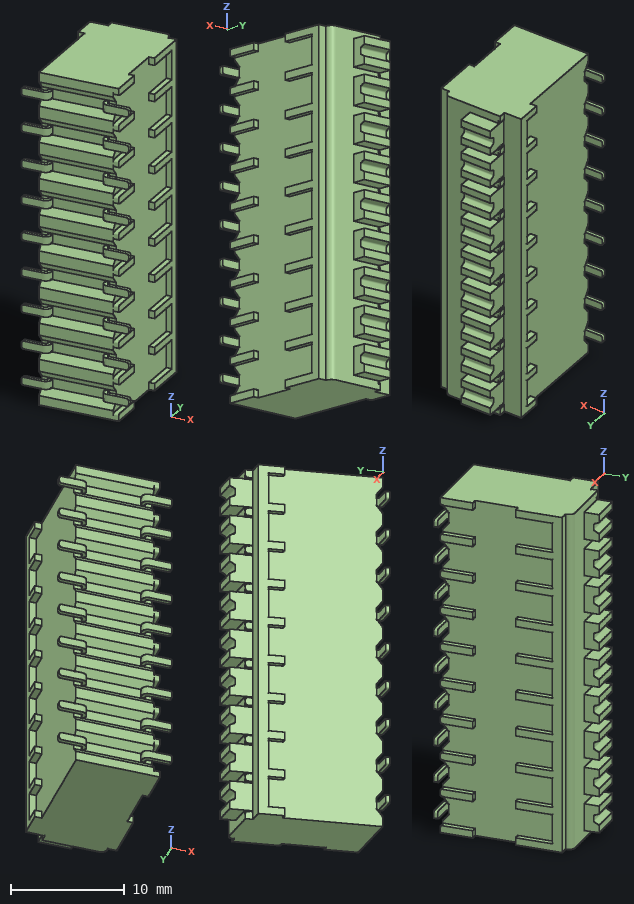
import cadquery as cq

POLES = 9
LENGTH = 32.2
WALL = 0.7
PITCH = (LENGTH - WALL) / POLES
POLE_CENTRES = [(i - (POLES - 1) / 2) * PITCH for i in range(POLES)]
WALL_CENTRES = [(i - POLES / 2) * PITCH for i in range(POLES + 1)]

CORE_HALF_WIDTH = 3.65
LEFT_EDGE = -4.28
RIGHT_EDGE = 4.2
FRONT = 0.2
SHOULDER = 11.75
BACK = 12.43

RAIL_DEPTH = 0.93
LEFT_FINGER_FRONT = 9.35
RIGHT_FINGER_FRONT = 7.35
FOOT_BACK = 3.3
RIB_EDGE_RADIUS = 0.2

STEP_LEFT = -2.32
STEP_RIGHT = 3.35
STEP_CORNER_RADIUS = 0.55
STEP_RIB_HEIGHT = 0.2

BUTTON_LEFT = -2.4
BUTTON_RIGHT = 0.68
BUTTON_BACK = 13.85
BUTTON_HEIGHT = 2.58
NOTCH_DEPTH = 0.5
NOTCH_MOUTH = 1.1
NOTCH_FLOOR = 0.58
NOTCH_CORNER_RADIUS = 0.15

GROOVE_DEPTH = 0.58
GROOVE_MOUTH = 2.35
GROOVE_FLOOR = 0.95

LEAD_HALF_SPAN = 10.5 / 2
LEAD_THICKNESS = 0.4
LEAD_HEIGHT = 0.77
LEAD_BEND_RADIUS = 0.15
LEAD_TIP_RADIUS = 0.23
LEG_INNER_FACE = 2.58
LEG_EMBEDDING = 0.32


def block(x_min, x_max, y_min, y_max, height, z_centre=0.0):
    """Box given by its X and Y limits, centred on z_centre in Z."""
    centre = ((x_min + x_max) / 2, (y_min + y_max) / 2, z_centre)
    return cq.Workplane("XY").box(x_max - x_min, y_max - y_min, height).translate(centre)


def make_core():
    """Main block with the raised step on its back."""
    body = block(-CORE_HALF_WIDTH, CORE_HALF_WIDTH, FRONT, SHOULDER, LENGTH)
    step = block(STEP_LEFT, STEP_RIGHT, SHOULDER, BACK, LENGTH)
    step = step.edges("|Z and >X and >Y").fillet(STEP_CORNER_RADIUS)
    return body.union(step)


def trapezoid_prism(x_min, x_max, y_mouth, y_floor, mouth, floor, z):
    """Prism along X whose section narrows from the mouth to the floor, centred on z."""
    return (
        cq.Workplane("YZ", origin=(x_min, 0, z))
        .polyline([
            (y_mouth, -mouth / 2),
            (y_floor, -floor / 2),
            (y_floor, floor / 2),
            (y_mouth, mouth / 2),
        ])
        .close()
        .extrude(x_max - x_min)
    )


def cut_grooves(body):
    """Cut one groove per pole right through the front face along X."""
    floor_y = FRONT + GROOVE_DEPTH
    for z in POLE_CENTRES:
        groove = trapezoid_prism(
            -CORE_HALF_WIDTH, CORE_HALF_WIDTH, FRONT, floor_y, GROOVE_MOUTH, GROOVE_FLOOR, z
        )
        body = body.cut(groove)
    return body


def rounded_rib(x_min, x_max, y_min, y_max, z, rounded_side):
    """Rib on a wall, rounded along its exposed edges; end walls stay flush outside."""
    rib = block(x_min, x_max, y_min, y_max, WALL, z)
    face = rib.faces(rounded_side)
    if z == WALL_CENTRES[0]:
        edges = face.edges(">Z")
    elif z == WALL_CENTRES[-1]:
        edges = face.edges("<Z")
    else:
        edges = face.edges("|X")
    return edges.fillet(RIB_EDGE_RADIUS)


def add_side_combs(body):
    """Rails and fingers on both sides, with feet at the front right."""
    rail_front = SHOULDER - RAIL_DEPTH
    body = body.union(block(LEFT_EDGE, RIGHT_EDGE, rail_front, SHOULDER, LENGTH))
    for z in WALL_CENTRES:
        body = body.union(block(LEFT_EDGE, 0, LEFT_FINGER_FRONT, SHOULDER, WALL, z))
        body = body.union(block(0, RIGHT_EDGE, RIGHT_FINGER_FRONT, SHOULDER, WALL, z))
        body = body.union(rounded_rib(0, RIGHT_EDGE, FRONT, FOOT_BACK, z, "<Y"))
    return body


def add_step_ribs(body):
    """Shallow ribs on the left face of the step, one on every wall."""
    for z in WALL_CENTRES:
        rib = rounded_rib(STEP_LEFT - STEP_RIB_HEIGHT, STEP_LEFT, SHOULDER, BACK, z, ">Y")
        body = body.union(rib)
    return body


def make_button(z):
    """Push button with a tapered, round-cornered notch across its outer face."""
    button = block(BUTTON_LEFT, BUTTON_RIGHT, SHOULDER, BUTTON_BACK, BUTTON_HEIGHT, z)
    floor_y = BUTTON_BACK - NOTCH_DEPTH
    notch = trapezoid_prism(
        BUTTON_LEFT, BUTTON_RIGHT, BUTTON_BACK, floor_y, NOTCH_MOUTH, NOTCH_FLOOR, z
    )
    notch = notch.faces("<Y").edges("|X").fillet(NOTCH_CORNER_RADIUS)
    return button.cut(notch)


def make_lead(z):
    """L-shaped lead on the +X side: a leg out of the groove floor and a flat foot."""
    leg_outer_face = LEG_INNER_FACE + LEAD_THICKNESS
    leg_top = FRONT + GROOVE_DEPTH + LEG_EMBEDDING
    lead = (
        cq.Workplane("XY", origin=(0, 0, z - LEAD_HEIGHT / 2))
        .moveTo(LEG_INNER_FACE, leg_top)
        .lineTo(LEG_INNER_FACE, 0)
        .lineTo(LEAD_HALF_SPAN, 0)
        .lineTo(LEAD_HALF_SPAN, LEAD_THICKNESS)
        .lineTo(leg_outer_face, LEAD_THICKNESS)
        .lineTo(leg_outer_face, leg_top)
        .close()
        .extrude(LEAD_HEIGHT)
    )
    inner_corner = cq.selectors.NearestToPointSelector((leg_outer_face, LEAD_THICKNESS, z))
    outer_corner = cq.selectors.NearestToPointSelector((LEG_INNER_FACE, 0, z))
    lead = lead.edges("|Z").edges(inner_corner).fillet(LEAD_BEND_RADIUS)
    lead = lead.edges("|Z").edges(outer_corner).fillet(LEAD_BEND_RADIUS + LEAD_THICKNESS)
    return lead.faces(">X").edges("|Y").fillet(LEAD_TIP_RADIUS)


result = cut_grooves(make_core())
result = add_side_combs(result)
result = add_step_ribs(result)
for pole_z in POLE_CENTRES:
    right_lead = make_lead(pole_z)
    result = result.union(make_button(pole_z))
    result = result.union(right_lead).union(right_lead.mirror("YZ"))